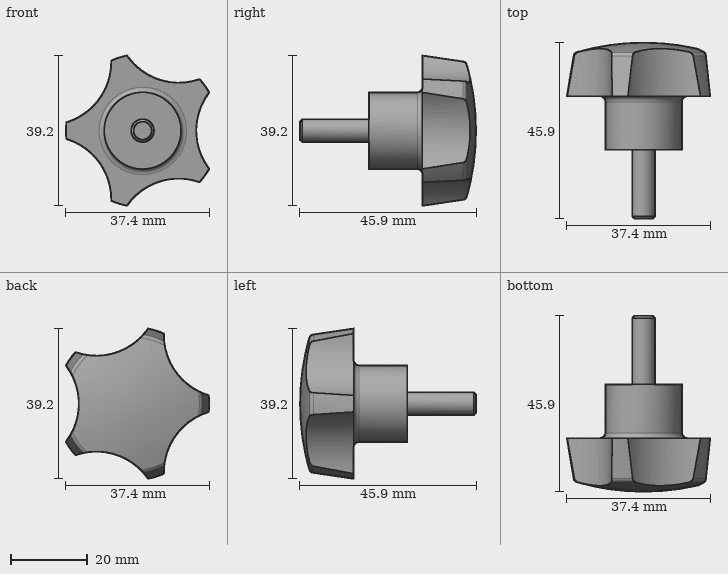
import cadquery as cq
import math

head_radius = 20.0
head_height = 14.0
rim_height = 11.3
rim_radius = 18.13
rim_fillet = 1.3

lobe_count = 5
scallop_radius = 16.4
scallop_depth_radius = 14.0

hub_radius = 10.0
hub_length = 13.95
hub_fillet = 1.38

stud_radius = 3.0
overall_length = 45.9
stud_chamfer = 0.65

hub_end = -hub_length
stud_end = head_height - overall_length


def revolve_about_y(profile):
    return profile.close().revolve(360, (0, 0, 0), (0, 1, 0))


def make_head():
    """Tapered body with a spherical dome and a rounded rim."""
    dome_rise = head_height - rim_height
    dome_radius = (rim_radius**2 + dome_rise**2) / (2 * dome_rise)
    mid_radius = rim_radius / 2
    mid_height = head_height - dome_radius + math.sqrt(dome_radius**2 - mid_radius**2)
    profile = (
        cq.Workplane("XY")
        .lineTo(head_radius, 0)
        .lineTo(rim_radius, rim_height)
        .threePointArc((mid_radius, mid_height), (0, head_height))
    )
    rim = cq.selectors.BoxSelector(
        (-head_radius, rim_height - rim_fillet, -head_radius),
        (head_radius, rim_height + rim_fillet, head_radius),
    )
    return revolve_about_y(profile).edges(rim).fillet(rim_fillet)


def make_scallops():
    """Cylindrical cutters between the lobes, the first centred on +X."""
    return (
        cq.Workplane("XZ")
        .polarArray(scallop_depth_radius + scallop_radius, 0, 360, lobe_count)
        .circle(scallop_radius)
        .extrude(-head_height)
    )


def make_hub_and_stud():
    """Hub with a concave fillet under the head, and a stud with a chamfered tip."""
    arc_offset = hub_fillet * (1 - math.sqrt(0.5))
    profile = (
        cq.Workplane("XY")
        .lineTo(hub_radius + hub_fillet, 0)
        .threePointArc((hub_radius + arc_offset, -arc_offset), (hub_radius, -hub_fillet))
        .lineTo(hub_radius, hub_end)
        .lineTo(stud_radius, hub_end)
        .lineTo(stud_radius, stud_end + stud_chamfer)
        .lineTo(stud_radius - stud_chamfer, stud_end)
        .lineTo(0, stud_end)
    )
    return revolve_about_y(profile)


result = make_head().cut(make_scallops()).union(make_hub_and_stud())